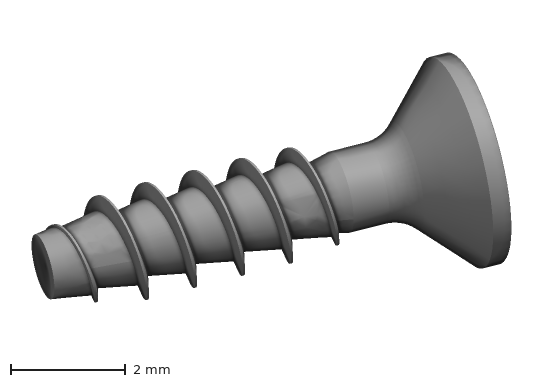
import cadquery as cq
import math

length = 8.0

head_radius = 1.9
head_rim = 0.345
head_edge_chamfer = 0.02
head_angle = math.radians(45)
shank_radius = 0.73
neck_fillet = 0.8
shank_end = 2.505

core_radius = 0.729
tip_radius = 0.583
tip_dish_radius = 0.525
tip_dish_angle = math.radians(5)
tip_taper = math.tan(math.radians(8.5))
core_taper = math.tan(math.radians(10))
runout_taper = math.tan(math.radians(13.5))
runout_small_radius = 0.5

pitch = 0.89
crest_start = 2.438
major_radius = 1.0
crest_width = 0.04
flank_slope = math.tan(math.radians(15))
thread_height = 0.46
thread_turns = (-0.1, 6.08)
rise_per_turn = 0.16
full_height_turn = 1.05
fade_turn = 4.8
fade_per_turn = 0.305

groove_turns = (-0.95, 6.4)
groove_start = 0.0
groove_end = 0.86
groove_full_radius_at = 0.05
groove_outer_radius = 0.9

segments_per_turn = 1
steps_per_segment = 12


def revolved(profile):
    """Solid of revolution about Y from a closed XY outline."""
    return profile.close().revolve(360, (0, 0, 0), (0, 1, 0)).val()


def head_and_shank():
    """Countersunk head with a fillet tangent to its cone and to the shank."""
    fillet_top_radius = shank_radius + neck_fillet * (1 - math.cos(head_angle))
    fillet_top = head_rim + (head_radius - fillet_top_radius) / math.tan(head_angle)
    fillet_end = fillet_top + neck_fillet * math.sin(head_angle)
    half_angle = head_angle / 2
    fillet_middle = (
        shank_radius + neck_fillet * (1 - math.cos(half_angle)),
        -fillet_end + neck_fillet * math.sin(half_angle),
    )
    runout_end = shank_end + (shank_radius - runout_small_radius) / runout_taper
    return revolved(
        cq.Workplane("XY")
        .lineTo(head_radius - head_edge_chamfer, 0)
        .lineTo(head_radius, -head_edge_chamfer)
        .lineTo(head_radius, -head_rim)
        .lineTo(fillet_top_radius, -fillet_top)
        .threePointArc(fillet_middle, (shank_radius, -fillet_end))
        .lineTo(shank_radius, -shank_end)
        .lineTo(runout_small_radius, -runout_end)
        .lineTo(0, -runout_end)
    )


def core_blank():
    """Cylinder with a conical tip, before the groove is cut."""
    tip_start = length - (core_radius - tip_radius) / tip_taper
    return revolved(
        cq.Workplane("XY")
        .moveTo(0, -shank_end)
        .lineTo(core_radius, -shank_end)
        .lineTo(core_radius, -tip_start)
        .lineTo(tip_radius, -length)
        .lineTo(0, -length)
    )


def tip_dish():
    """Shallow conical hollow in the end face of the tip."""
    dish_depth = tip_dish_radius * math.tan(tip_dish_angle)
    return revolved(
        cq.Workplane("XY")
        .moveTo(0, -length)
        .lineTo(tip_dish_radius, -length)
        .lineTo(0, -length + dish_depth)
    )


def helix_point(turn, offset, radius):
    """Point on the right-handed helix, shifted along the axis from the crest."""
    angle = 2 * math.pi * turn
    depth = crest_start + pitch * turn + offset
    return cq.Vector(-radius * math.cos(angle), -depth, -radius * math.sin(angle))


def helical_solid(turns, corners):
    """Sweep a polygon along the helix; each corner is (axial offset, radius as a function of turn)."""
    first, last = turns
    segments = math.ceil((last - first) * segments_per_turn)
    segment_turns = (last - first) / segments
    faces = []
    for segment in range(segments):
        start = first + segment * segment_turns
        stations = [start + segment_turns * i / steps_per_segment for i in range(steps_per_segment + 1)]
        edges = [
            cq.Edge.makeSpline([helix_point(turn, offset, radius(turn)) for turn in stations])
            for offset, radius in corners
        ]
        faces += [cq.Face.makeRuledSurface(a, b) for a, b in zip(edges, edges[1:] + edges[:1])]
    for turn in turns:
        outline = [helix_point(turn, offset, radius(turn)) for offset, radius in corners]
        faces.append(cq.Face.makeFromWires(cq.Wire.makePolygon(outline, close=True)))
    return cq.Solid.makeSolid(cq.Shell.makeShell(faces)).fix()


def crest_radius(turn):
    """Crest radius: rises from the shank, stays full, then sinks into the tip."""
    rising = major_radius - rise_per_turn * (full_height_turn - turn)
    sinking = major_radius - fade_per_turn * (turn - fade_turn)
    return min(rising, major_radius, sinking)


def root_radius(turn):
    """Buried foot of the thread, at a fixed depth below the crest."""
    return crest_radius(turn) - thread_height


def thread():
    """Thread ridge, trimmed flat at the end of the shank."""
    half_crest = crest_width / 2
    half_root = half_crest + thread_height * flank_slope
    ridge = helical_solid(
        thread_turns,
        [
            (-half_root, root_radius),
            (-half_crest, crest_radius),
            (half_crest, crest_radius),
            (half_root, root_radius),
        ],
    )
    threaded_zone = cq.Solid.makeCylinder(
        head_radius, length - shank_end, cq.Vector(0, -shank_end, 0), cq.Vector(0, -1, 0)
    )
    return ridge.intersect(threaded_zone)


def groove_floor(offset):
    """Radius of the groove floor, which falls towards the tip."""
    return core_radius - core_taper * (offset - groove_full_radius_at)


def groove():
    """Cutter that leaves a sawtooth core between the thread turns."""
    return helical_solid(
        groove_turns,
        [
            (groove_start, lambda turn: groove_floor(groove_start)),
            (groove_end, lambda turn: groove_floor(groove_end)),
            (groove_end, lambda turn: groove_outer_radius),
            (groove_start, lambda turn: groove_outer_radius),
        ],
    )


core = core_blank().cut(groove())
screw = core.fuse(head_and_shank()).fuse(thread()).cut(tip_dish())
result = cq.Workplane("XY").newObject(screw.Solids())